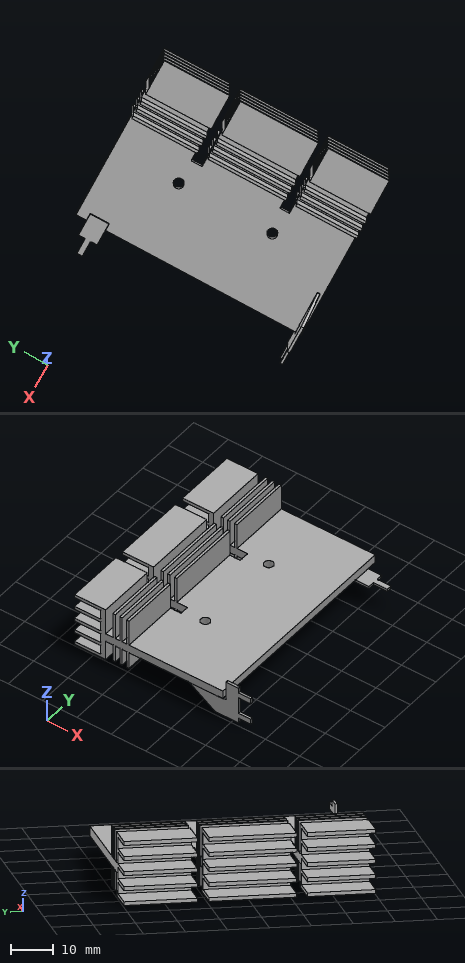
import cadquery as cq


WIDTH = 60.0
OVERALL_HEIGHT = 15.95
PLATE_END_X = 43.2
PLATE_THICKNESS = 2.4

HEAD_LENGTH = 9.1
HEAD_HEIGHT = 15.55
HEAD_TOP_Z = 9.85
SPINE_THICKNESS = 1.55
SPINE_START_X = HEAD_LENGTH - SPINE_THICKNESS
FIN_COUNT = 5
FIN_THICKNESS = 0.95
FIN_PITCH = (HEAD_HEIGHT - FIN_THICKNESS) / (FIN_COUNT - 1)

UPRIGHT_COUNT = 3
UPRIGHT_START_X = 11.2
UPRIGHT_PITCH = 2.0
UPRIGHT_THICKNESS = 0.7
UPRIGHT_BOTTOM_Z = -4.9

SLOT_END_X = 18.95
NEAR_SLOT_Y = (16.3, 18.85)
FAR_SLOT_Y = (39.7, 42.5)
FAR_SLOT_PLATE_RELIEF = 0.1

HOLE_DIAMETER = 2.5
HOLE_X = 25.15
HOLE_SPACING = 24.95

SHEET_THICKNESS = 0.7
TERMINAL_END_X = 47.1
NOTCH_START_X = 41.3

UPRIGHT_TERMINAL_Y = 0.85
UPRIGHT_TERMINAL_TOP_Z = 4.75
UPRIGHT_TERMINAL_BOTTOM_Z = HEAD_TOP_Z - OVERALL_HEIGHT
PLATE_CLEARANCE = 0.25
GUSSET_START_X = 32.4
GUSSET_FOOT_X = 40.3
PRONG_END_X = 50.65
PRONG_HEIGHT = 1.6
PRONG_BOTTOMS_Z = (-4.7, 1.7)

FLAT_TERMINAL_Y = 54.7
FLAT_TERMINAL_WIDTH = 5.05
FLAT_PIN_WIDTH = 1.5
FLAT_PIN_END_X = 51.1


def block(x_range, y_range, z_range):
    """Box spanning the given (low, high) limits on each axis."""
    ranges = (x_range, y_range, z_range)
    sizes = [high - low for low, high in ranges]
    corner = tuple(low for low, high in ranges)
    return cq.Workplane("XY").box(*sizes, centered=False).translate(corner)


def finned_bank(y_range):
    """One bank of horizontal fins on their spine, with the upright fins behind it."""
    head_bottom_z = HEAD_TOP_Z - HEAD_HEIGHT
    bank = block((SPINE_START_X, HEAD_LENGTH), y_range, (head_bottom_z, HEAD_TOP_Z))
    for index in range(FIN_COUNT):
        fin_z = head_bottom_z + index * FIN_PITCH
        bank = bank.union(block((0, HEAD_LENGTH), y_range, (fin_z, fin_z + FIN_THICKNESS)))
    for index in range(UPRIGHT_COUNT):
        fin_x = UPRIGHT_START_X + index * UPRIGHT_PITCH
        x_range = (fin_x, fin_x + UPRIGHT_THICKNESS)
        bank = bank.union(block(x_range, y_range, (UPRIGHT_BOTTOM_Z, HEAD_TOP_Z)))
    return bank


def base_plate():
    """Plate with two open slots at the finned end and two mounting holes."""
    plate_z = (0, PLATE_THICKNESS)
    plate = block((SPINE_START_X, PLATE_END_X), (0, WIDTH), plate_z)
    far_slot_y = (FAR_SLOT_Y[0] - FAR_SLOT_PLATE_RELIEF, FAR_SLOT_Y[1])
    for slot_y in (NEAR_SLOT_Y, far_slot_y):
        plate = plate.cut(block((SPINE_START_X, SLOT_END_X), slot_y, plate_z))
    hole_centers = [(HOLE_X, WIDTH / 2 + side * HOLE_SPACING / 2) for side in (-1, 1)]
    drills = cq.Workplane("XY").pushPoints(hole_centers)
    holes = drills.circle(HOLE_DIAMETER / 2).extrude(PLATE_THICKNESS)
    return plate.cut(holes)


def upright_terminal():
    """Standing blade: gusset against the plate underside, post past its edge, two prongs."""
    y_range = (UPRIGHT_TERMINAL_Y, UPRIGHT_TERMINAL_Y + SHEET_THICKNESS)
    post_start_x = PLATE_END_X + PLATE_CLEARANCE
    outline = [
        (GUSSET_START_X, 0),
        (NOTCH_START_X, 0),
        (NOTCH_START_X, -SHEET_THICKNESS),
        (post_start_x, -SHEET_THICKNESS),
        (post_start_x, UPRIGHT_TERMINAL_TOP_Z),
        (TERMINAL_END_X, UPRIGHT_TERMINAL_TOP_Z),
        (TERMINAL_END_X, UPRIGHT_TERMINAL_BOTTOM_Z),
        (GUSSET_FOOT_X, UPRIGHT_TERMINAL_BOTTOM_Z),
        (GUSSET_START_X, -SHEET_THICKNESS),
    ]
    blade = cq.Workplane("XZ", origin=(0, y_range[1], 0)).polyline(outline).close().extrude(SHEET_THICKNESS)
    for bottom_z in PRONG_BOTTOMS_Z:
        prong_z = (bottom_z, bottom_z + PRONG_HEIGHT)
        blade = blade.union(block((TERMINAL_END_X, PRONG_END_X), y_range, prong_z))
    return blade


def flat_terminal():
    """Flat tab against the plate underside, narrowing to a single pin."""
    def centered(width):
        return (FLAT_TERMINAL_Y - width / 2, FLAT_TERMINAL_Y + width / 2)

    z_range = (-SHEET_THICKNESS, 0)
    tab = block((NOTCH_START_X, TERMINAL_END_X), centered(FLAT_TERMINAL_WIDTH), z_range)
    return tab.union(block((TERMINAL_END_X, FLAT_PIN_END_X), centered(FLAT_PIN_WIDTH), z_range))


result = base_plate()
bank_limits = [
    (0, NEAR_SLOT_Y[0]),
    (NEAR_SLOT_Y[1], FAR_SLOT_Y[0]),
    (FAR_SLOT_Y[1], WIDTH),
]
for bank_y in bank_limits:
    result = result.union(finned_bank(bank_y))
result = result.union(upright_terminal()).union(flat_terminal())